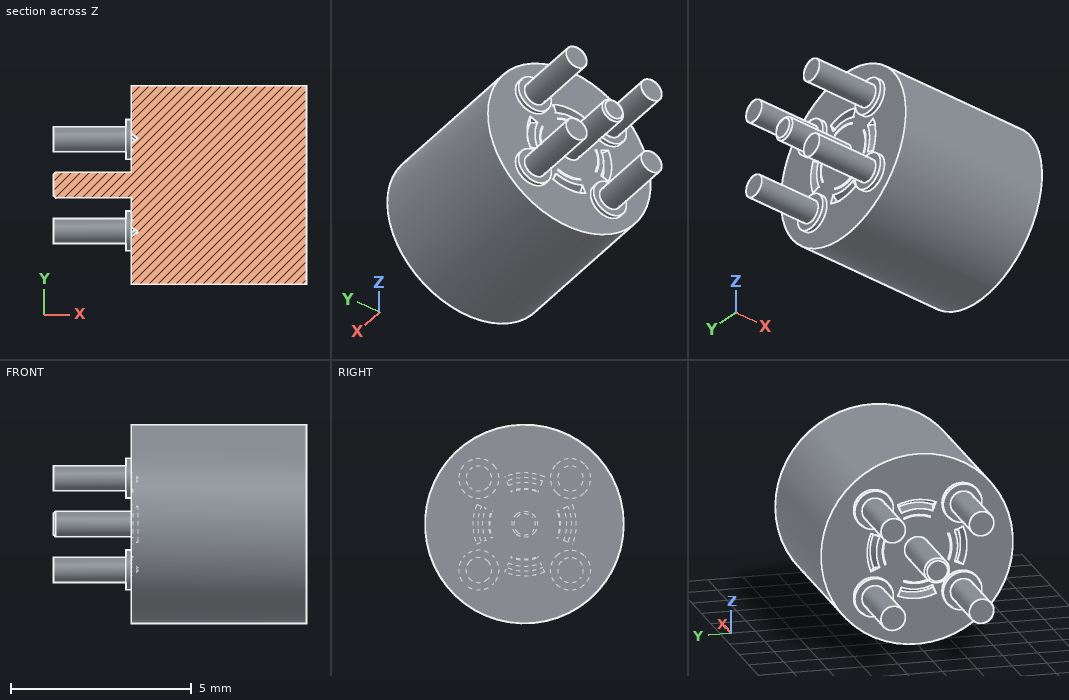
import cadquery as cq

overall_length = 7
body_diameter = 5.5
pin_length = 2.15
body_length = overall_length - pin_length

center_pin_diameter = 0.715
center_pin_chamfer = 0.06

corner_pin_diameter = 0.7
corner_pin_offset = 1.27
collar_diameter = 1.105
collar_height = 0.15

groove_count = 4
groove_angle = 45
staking_inner_radius = 1.16
staking_outer_radius = 1.43
staking_depth = 0.18
gap_inner_radius = 0.965
gap_outer_radius = 0.995
gap_depth = 0.04


def axial_cylinder(diameter, start, end, y=0, z=0):
    """Cylinder parallel to X, running from X = start to X = end."""
    return cq.Workplane("YZ", origin=(start, y, z)).circle(diameter / 2).extrude(end - start)


def arc_groove(profile, middle_angle):
    """Groove cutter: an (X, radius) profile swept about X, centred on middle_angle."""
    first_angle = middle_angle - groove_angle / 2
    groove = cq.Workplane("XY").polyline(profile).close().revolve(groove_angle, (0, 0, 0), (1, 0, 0))
    return groove.rotate((0, 0, 0), (1, 0, 0), first_angle)


result = axial_cylinder(body_diameter, 0, body_length)
center_pin = axial_cylinder(center_pin_diameter, -pin_length, 0)
result = result.union(center_pin.faces("<X").chamfer(center_pin_chamfer))

for y in (-corner_pin_offset, corner_pin_offset):
    for z in (-corner_pin_offset, corner_pin_offset):
        result = result.union(axial_cylinder(collar_diameter, -collar_height, 0, y, z))
        result = result.union(axial_cylinder(corner_pin_diameter, -pin_length, 0, y, z))

staking_middle_radius = (staking_inner_radius + staking_outer_radius) / 2
staking_profile = [
    (0, staking_inner_radius),
    (staking_depth, staking_middle_radius),
    (0, staking_outer_radius),
]
gap_profile = [
    (0, gap_inner_radius),
    (gap_depth, gap_inner_radius),
    (0, gap_outer_radius),
]
for index in range(groove_count):
    middle_angle = index * 360 / groove_count
    result = result.cut(arc_groove(staking_profile, middle_angle))
    result = result.cut(arc_groove(gap_profile, middle_angle))